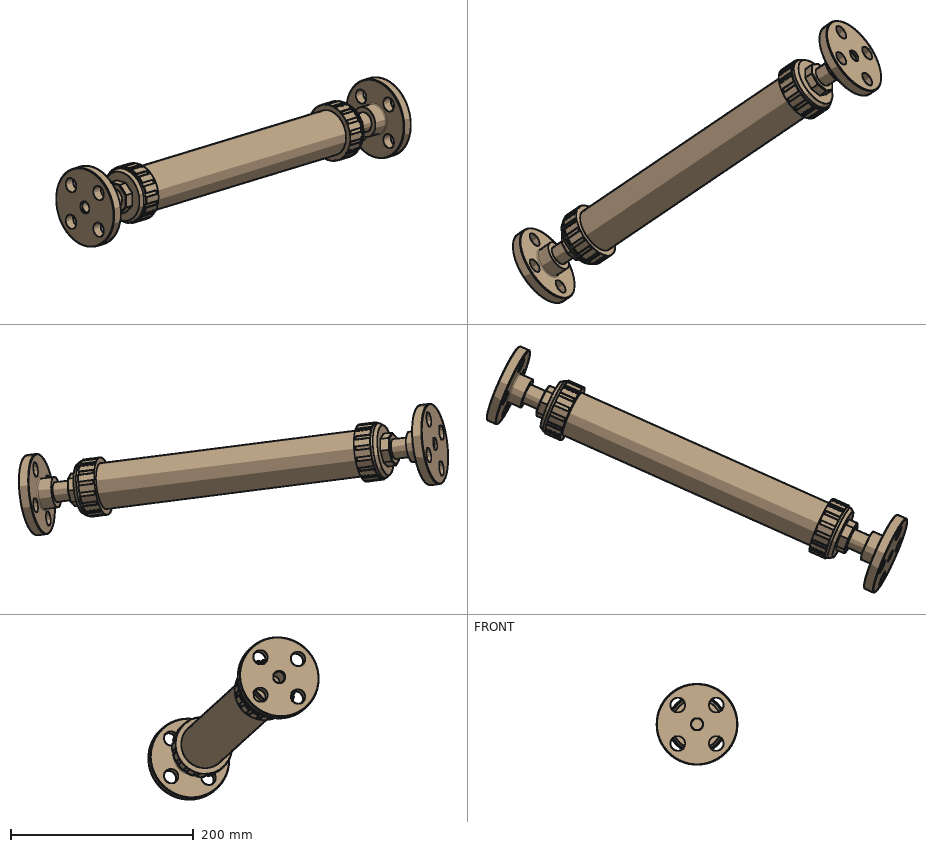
import cadquery as cq
import math

total_length = 468.0

flange_thickness = 11.5
collar_end = 28.0
nut_start = 47.3
cap_start = 57.5
cap_chamfer_end = 61.8
rib_start = 64.5
cap_end = 83.5

flange_diameter = 89.0
collar_diameter = 33.5
pipe_diameter = 22.0
tube_diameter = 51.0
cap_face_diameter = 55.0
cap_diameter = 61.0
rib_diameter = 63.5

flange_chamfer = 0.7
neck_fillet = 1.15
nut_chamfer = 0.7

nut_sides = 8
nut_across_flats = 33.5

rim_width = 1.5
rib_count = 16
rib_gap = 4.0
rib_gap_end = cap_end - rim_width

bolt_hole_count = 4
bolt_hole_diameter = 16.0
bolt_circle_diameter = 59.5
counterbore_diameter = 13.5
counterbore_depth = 3.0
bore_diameter = 12.5
bore_depth = collar_end

half_length = total_length / 2


def cylinder(diameter, start, end):
    """Cylinder on the Y axis between two distances from the -Y end face."""
    plane = cq.Workplane("XZ", origin=(0, start - half_length, 0))
    return plane.circle(diameter / 2).extrude(start - end)


def make_flange():
    """Bolting flange with its collar, turned so that the bolt holes straddle the axes."""
    disc = cylinder(flange_diameter, 0, flange_thickness).edges().chamfer(flange_chamfer)
    collar = cylinder(collar_diameter, 0, collar_end)
    bolt_holes = (
        cq.Workplane("XZ", origin=(0, -half_length, 0))
        .polarArray(bolt_circle_diameter / 2, 0, 360, bolt_hole_count)
        .circle(bolt_hole_diameter / 2)
        .extrude(-flange_thickness)
    )
    neck_corner = cq.selectors.BoxSelector(
        (-collar_diameter, flange_thickness - half_length - neck_fillet, -collar_diameter),
        (collar_diameter, flange_thickness - half_length + neck_fillet, collar_diameter),
        boundingbox=True,
    )
    flange = disc.union(collar).edges(neck_corner).fillet(neck_fillet).cut(bolt_holes)
    return flange.rotate((0, 0, 0), (0, 1, 0), 180 / bolt_hole_count)


def make_nut():
    """Octagonal nut with flats facing the X and Z directions and a chamfered outer face."""
    across_corners = nut_across_flats / math.cos(math.pi / nut_sides)
    return (
        cq.Workplane("XZ", origin=(0, nut_start - half_length, 0))
        .polygon(nut_sides, across_corners)
        .extrude(nut_start - cap_start)
        .faces("<Y")
        .chamfer(nut_chamfer)
        .rotate((0, 0, 0), (0, 1, 0), 180 / nut_sides)
    )


def make_cap():
    """Union cap: a chamfered body with a ring of grip ribs around it."""
    body = (
        cq.Workplane("XY")
        .moveTo(0, cap_start - half_length)
        .lineTo(cap_face_diameter / 2, cap_start - half_length)
        .lineTo(cap_diameter / 2, cap_chamfer_end - half_length)
        .lineTo(cap_diameter / 2, cap_end - half_length)
        .lineTo(0, cap_end - half_length)
        .close()
        .revolve(360, (0, 0, 0), (0, 1, 0))
    )
    gaps = (
        cq.Workplane("XZ", origin=(0, rib_start - half_length, 0))
        .polarArray(rib_diameter / 2, 180 / rib_count, 360, rib_count)
        .rect(rib_diameter - cap_diameter, rib_gap)
        .extrude(rib_start - rib_gap_end)
    )
    ribs = cylinder(rib_diameter, rib_start, cap_end).cut(gaps)
    return body.union(ribs)


def make_end():
    """Everything at the -Y end, up to the tube."""
    pipe = cylinder(pipe_diameter, collar_end, nut_start)
    counterbore = cylinder(counterbore_diameter, 0, counterbore_depth)
    bore = cylinder(bore_diameter, 0, bore_depth).union(counterbore)
    return make_flange().union(pipe).union(make_nut()).union(make_cap()).cut(bore)


front_end = make_end()
back_end = front_end.mirror("XZ")
tube = cylinder(tube_diameter, cap_end, total_length - cap_end)

result = tube.union(front_end).union(back_end)